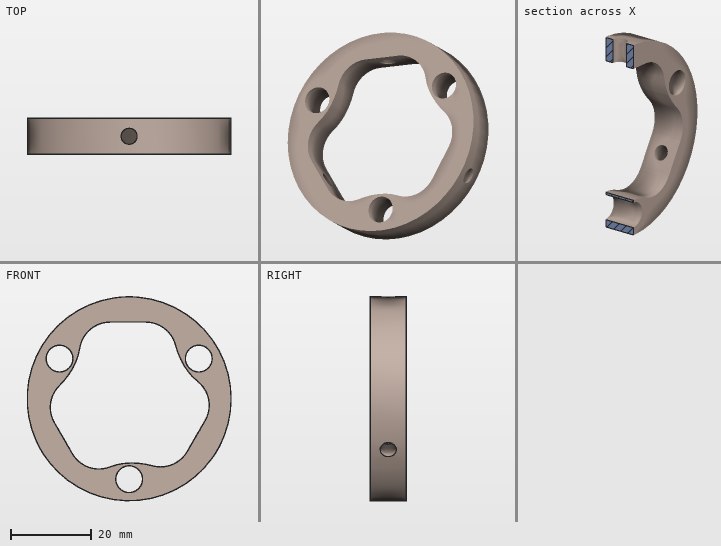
import cadquery as cq
import math

OUTER_DIAMETER = 50.8
THICKNESS = 9.0
SECTORS = 3
SECTOR_ANGLE = 360.0 / SECTORS

AXIAL_HOLE_DIAMETER = 6.6
AXIAL_HOLE_RADIUS = 20.0

RADIAL_HOLE_DIAMETER = 4.0

FLAT_DISTANCE = 19.05
FLAT_LEFT = -4.75
FLAT_RIGHT = 4.15
LOBE_RADIUS = 7.6
CREST_DISTANCE = 15.95
CREST_LEFT = 0.38
CREST_RIGHT = 0.68


def back_plane():
    """XZ workplane on the +Y face; extruding from it goes toward -Y."""
    return cq.Workplane("XZ", origin=(0, THICKNESS / 2, 0))


def rotate(point, degrees):
    """Turn an (x, z) point counter-clockwise about the ring axis."""
    x, z = point
    cosine = math.cos(math.radians(degrees))
    sine = math.sin(math.radians(degrees))
    return (x * cosine - z * sine, x * sine + z * cosine)


def point_toward(start, target, distance):
    """Point at the given distance from start, on the line to target."""
    dx = target[0] - start[0]
    dz = target[1] - start[1]
    length = math.hypot(dx, dz)
    return (start[0] + dx * distance / length, start[1] + dz * distance / length)


def arc_middle(center, start, end, radius):
    """Middle of the shorter arc between two points on a circle."""
    chord_middle = ((start[0] + end[0]) / 2, (start[1] + end[1]) / 2)
    return point_toward(center, chord_middle, radius)


def bulge_side(crest_x, lobe_center):
    """Arc tangent to the bottom crest at crest_x and to a lobe circle.

    Returns the arc centre, its radius and its tangent point on the lobe.
    """
    dx = lobe_center[0] - crest_x
    dz = lobe_center[1] + CREST_DISTANCE
    radius = (dx**2 + dz**2 - LOBE_RADIUS**2) / (2 * (LOBE_RADIUS - dz))
    center = (crest_x, -CREST_DISTANCE - radius)
    return center, radius, point_toward(center, lobe_center, radius)


def add_arc(outline, center, start, end, radius, turn):
    """Continue the outline with an arc, turned about the ring axis."""
    middle = arc_middle(center, start, end, radius)
    return outline.threePointArc(rotate(middle, turn), rotate(end, turn))


def opening():
    """Cutter for the three-lobed opening.

    The points describe the bottom bulge, between the lower-left and
    lower-right flats; turning them gives the other two sectors.
    """
    left_flat_end = rotate((FLAT_LEFT, FLAT_DISTANCE), SECTOR_ANGLE)
    right_flat_start = rotate((FLAT_RIGHT, FLAT_DISTANCE), -SECTOR_ANGLE)
    crest_left = (CREST_LEFT, -CREST_DISTANCE)
    crest_right = (CREST_RIGHT, -CREST_DISTANCE)

    lobe_z = FLAT_DISTANCE - LOBE_RADIUS
    left_lobe = rotate((FLAT_LEFT, lobe_z), SECTOR_ANGLE)
    right_lobe = rotate((FLAT_RIGHT, lobe_z), -SECTOR_ANGLE)
    left_center, left_radius, left_tangent = bulge_side(CREST_LEFT, left_lobe)
    right_center, right_radius, right_tangent = bulge_side(CREST_RIGHT, right_lobe)

    outline = back_plane().moveTo(*left_flat_end)
    for sector in range(SECTORS):
        turn = sector * SECTOR_ANGLE
        if sector > 0:
            outline = outline.lineTo(*rotate(left_flat_end, turn))
        outline = add_arc(outline, left_lobe, left_flat_end, left_tangent, LOBE_RADIUS, turn)
        outline = add_arc(outline, left_center, left_tangent, crest_left, left_radius, turn)
        outline = outline.lineTo(*rotate(crest_right, turn))
        outline = add_arc(outline, right_center, crest_right, right_tangent, right_radius, turn)
        outline = add_arc(outline, right_lobe, right_tangent, right_flat_start, LOBE_RADIUS, turn)
    return outline.close().extrude(THICKNESS)


def ring_blank():
    return back_plane().circle(OUTER_DIAMETER / 2).extrude(THICKNESS)


def axial_holes():
    bottom = (0, -AXIAL_HOLE_RADIUS)
    centers = [rotate(bottom, sector * SECTOR_ANGLE) for sector in range(SECTORS)]
    holes = back_plane().pushPoints(centers)
    return holes.circle(AXIAL_HOLE_DIAMETER / 2).extrude(THICKNESS)


def radial_hole(turn):
    """Cutter from the ring axis out through a flat, turned about the ring axis."""
    hole = cq.Workplane("XY").circle(RADIAL_HOLE_DIAMETER / 2).extrude(OUTER_DIAMETER)
    return hole.rotate((0, 0, 0), (0, 1, 0), turn)


result = ring_blank().cut(opening()).cut(axial_holes())
for sector in range(SECTORS):
    result = result.cut(radial_hole(sector * SECTOR_ANGLE))